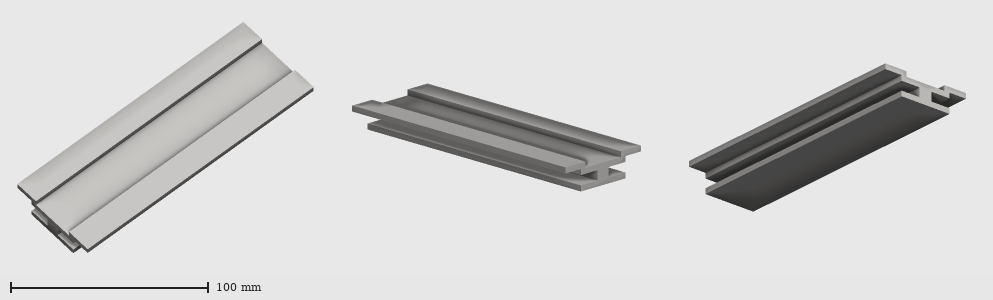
import cadquery as cq

length = 152.4
total_width = 54.0
total_height = 15.1

plate_thickness = 3.2
recess_width = 25.3
body_width = 32.0
web_width = 8.0

wing_bottom = total_height - plate_thickness
floor_bottom = wing_bottom - plate_thickness

half_profile = [
    (0, 0),
    (body_width / 2, 0),
    (body_width / 2, plate_thickness),
    (web_width / 2, plate_thickness),
    (web_width / 2, floor_bottom),
    (body_width / 2, floor_bottom),
    (body_width / 2, wing_bottom),
    (total_width / 2, wing_bottom),
    (total_width / 2, total_height),
    (recess_width / 2, total_height),
    (recess_width / 2, wing_bottom),
    (0, wing_bottom),
]

result = (
    cq.Workplane("XZ")
    .polyline(half_profile)
    .mirrorY()
    .extrude(length / 2, both=True)
)